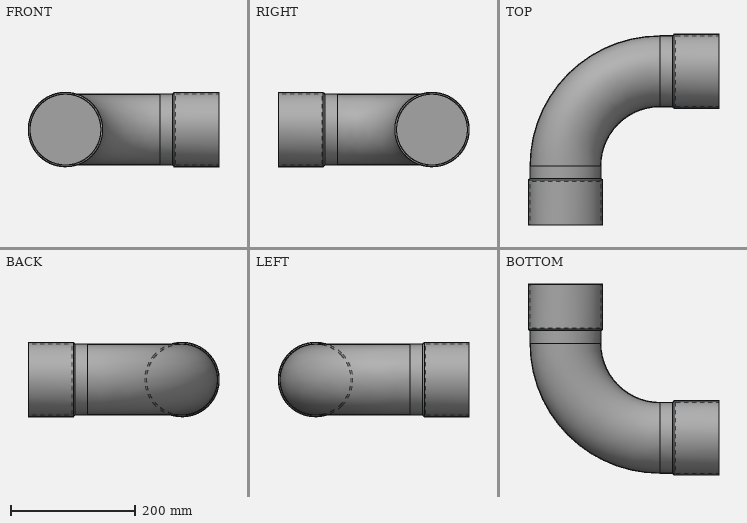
import cadquery as cq

overall = 308.0
socket_diameter = 120.0
socket_bore = 114.3
bore_depth = 70.5
pipe_diameter = 115.0
bend_diameter = 114.3
socket_length = 75.0
straight_length = 20.3

socket_radius = socket_diameter / 2
shoulder_step = (socket_diameter - pipe_diameter) / 2
leg_length = overall - socket_radius
bend_radius = leg_length - socket_length - straight_length
pipe_end = leg_length - socket_length
socket_floor = leg_length - bore_depth


def along_x(diameter, start, end):
    """Cylinder on the X leg between two distances from the axis corner."""
    return cq.Workplane("YZ").workplane(offset=start).circle(diameter / 2).extrude(end - start)


def make_leg():
    """Straight pipe and blind socket of the leg that points along +X."""
    socket = along_x(socket_diameter, pipe_end, leg_length).faces("<X").edges().chamfer(shoulder_step)
    pipe = along_x(pipe_diameter, bend_radius, pipe_end)
    return pipe.union(socket).cut(along_x(socket_bore, socket_floor, leg_length))


bend = (
    cq.Workplane("YZ", origin=(bend_radius, 0, 0))
    .circle(bend_diameter / 2)
    .revolve(90, (-bend_radius, 0, 0), (-bend_radius, 1, 0))
)

x_leg = make_leg()
y_leg = x_leg.rotate((0, 0, 0), (0, 0, 1), -90)
result = bend.union(x_leg).union(y_leg)